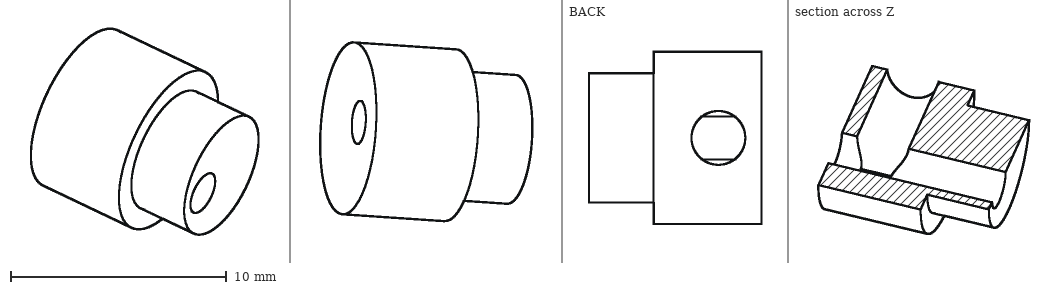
import cadquery as cq

head_diameter = 8.0
head_length = 5.0
shank_diameter = 6.0
total_length = 8.0

bore_diameter = 2.0
bore_offset_y = -1.5

side_hole_diameter = 2.5
side_hole_x = 2.0


def cylinder_along_x(diameter, length, y=0.0):
    """Cylinder starting at X = 0 and centred on Z = 0."""
    return cq.Workplane("YZ").center(y, 0).circle(diameter / 2).extrude(length)


def radial_hole():
    """Cutter from the bore axis out to the +Y side of the head."""
    depth = head_diameter / 2 - bore_offset_y
    return (
        cq.Workplane("XZ", origin=(side_hole_x, bore_offset_y, 0))
        .circle(side_hole_diameter / 2)
        .extrude(-depth)
    )


head = cylinder_along_x(head_diameter, head_length)
shank = cylinder_along_x(shank_diameter, total_length)
bore = cylinder_along_x(bore_diameter, total_length, bore_offset_y)

result = head.union(shank).cut(bore).cut(radial_hole())